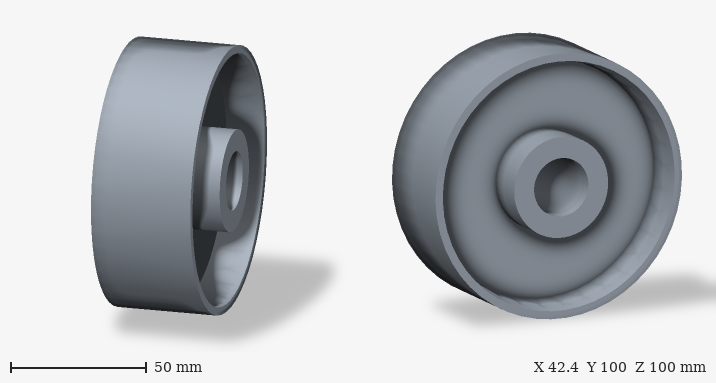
import cadquery as cq

wheel_diameter = 100.0
rim_width = 38.1
hub_length = 42.44
hub_diameter = 38.1
bore_diameter = 22.0
web_thickness = 10.0
recess_mouth_diameter = 94.0
recess_floor_diameter = 90.0


def wheel_half_section():
    """Radial section on the +X side as (x, radius) points, from hub end to rim edge."""
    hub_end = hub_length / 2
    web_face = web_thickness / 2
    rim_edge = rim_width / 2
    return [
        (hub_end, bore_diameter / 2),
        (hub_end, hub_diameter / 2),
        (web_face, hub_diameter / 2),
        (web_face, recess_floor_diameter / 2),
        (rim_edge, recess_mouth_diameter / 2),
        (rim_edge, wheel_diameter / 2),
    ]


def wheel_section():
    """Full radial section: the +X half followed by its mirror image."""
    half = wheel_half_section()
    mirrored_half = [(-x, radius) for x, radius in reversed(half)]
    return half + mirrored_half


result = (
    cq.Workplane("XZ")
    .polyline(wheel_section())
    .close()
    .revolve(360, (0, 0, 0), (1, 0, 0))
)